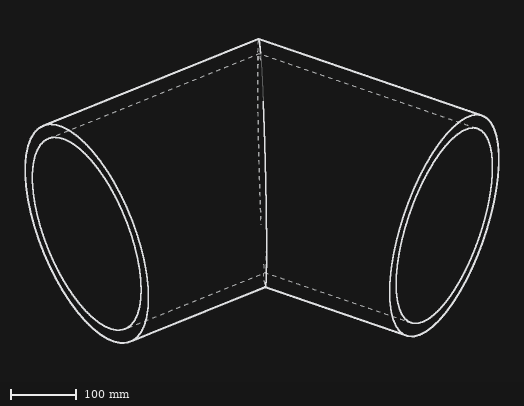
import cadquery as cq
import math

outer_diameter = 355.0
wall_thickness = 21.1
bend_angle = 60.0
leg_length = 314.67

outer_radius = outer_diameter / 2
inner_radius = outer_radius - wall_thickness

bend = math.radians(bend_angle)
inlet_end = (0, -leg_length)
outlet_end = (leg_length * math.sin(bend), leg_length * math.cos(bend))


def mitred_rod(radius):
    """Solid round rod following both centrelines with a sharp mitre between them."""
    centreline = cq.Workplane("XY").moveTo(*inlet_end).lineTo(0, 0).lineTo(*outlet_end)
    inlet_plane = cq.Plane(origin=(*inlet_end, 0), xDir=(1, 0, 0), normal=(0, 1, 0))
    return cq.Workplane(inlet_plane).circle(radius).sweep(centreline, transition="right")


result = mitred_rod(outer_radius).cut(mitred_rod(inner_radius))